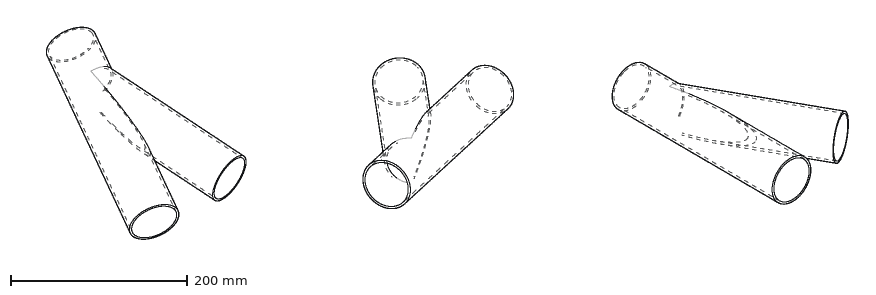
import cadquery as cq

main_length = 266.7
outer_diameter = 60.3
bore_diameter = 54.7
branch_start = 63.5
branch_length = 203.2
branch_angle = 30.0


def main_cylinder(diameter):
    return cq.Workplane("YZ").circle(diameter / 2).extrude(main_length)


def branch_cylinder(diameter):
    cylinder = cq.Workplane("YZ").circle(diameter / 2).extrude(branch_length)
    return cylinder.rotate((0, 0, 0), (0, 0, 1), branch_angle).translate((branch_start, 0, 0))


def wye(diameter):
    return main_cylinder(diameter).union(branch_cylinder(diameter))


result = wye(outer_diameter).cut(wye(bore_diameter))